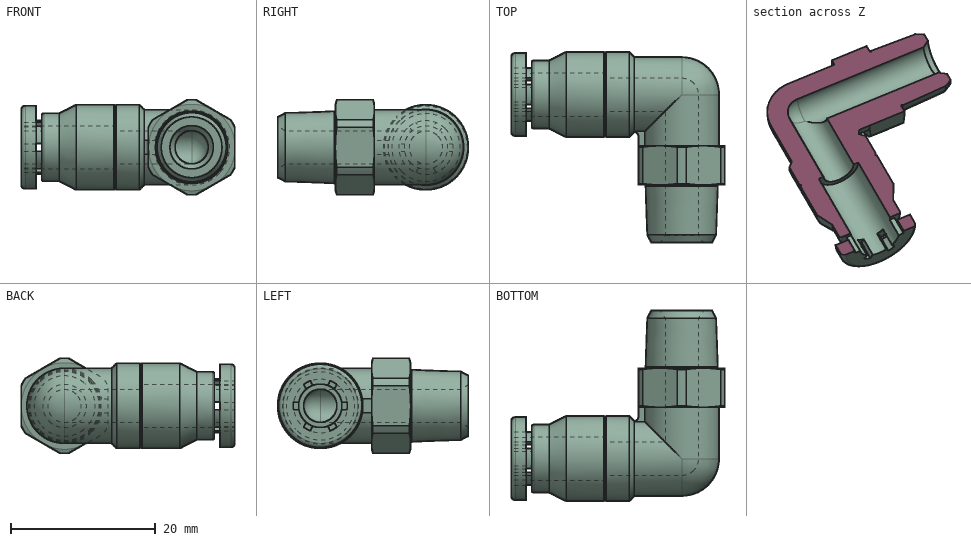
import cadquery as cq
import math


collar_end = 2.1
neck_start = 2.85
neck_end = 5.27
barrel_start = 7.6
groove_start = 12.85
groove_end = 13.2
barrel_chamfer = 0.65
barrel_end = 17.02

collar_diameter = 11.5
collar_round = 0.6
neck_diameter = 9.45
neck_round = 0.33
barrel_diameter = 11.8
groove_depth = 0.18

sleeve_diameter = 7.45
socket_diameter = 6.0
socket_depth = groove_start
slot_count = 6
slot_width = 1.05
slot_depth = neck_start

across_flats = 12.0
across_corners = 13.2
hex_sides = 6
hex_turn = 180 / hex_sides
hex_chamfer = 0.18
hex_top = -7.1
hex_bottom = -12.5

overall_length = 29.6
elbow_x = overall_length - across_flats / 2
elbow_diameter = 10.4
bore_diameter = 4.6

overall_width = 26.4
stud_end = barrel_diameter / 2 - overall_width
relief_length = 0.18
relief_diameter = 9.83
stud_large_diameter = 10.03
stud_small_diameter = 9.55
tip_chamfer_length = 1.1
tip_diameter = 8.4
mouth_diameter = 6.0
mouth_depth = 1.05

rib_width = 1.95
rib_x = elbow_x - across_flats / 2
rib_round = rib_x - barrel_end


def x_cylinder(diameter, start, end):
    """Cylinder on the tube axis between two X stations."""
    return cq.Workplane("YZ", origin=(start, 0, 0)).circle(diameter / 2).extrude(end - start)


def y_revolve(points):
    """Revolve (radius, y) points about the stud axis."""
    profile = cq.Workplane("XY", origin=(elbow_x, 0, 0)).polyline(points).close()
    return profile.revolve(360, (0, 0), (0, 1))


def round_elbow(diameter, x_start, y_end):
    """Two round legs joined by a quarter ball on the outside of the bend."""
    radius = diameter / 2
    x_leg = x_cylinder(diameter, x_start, elbow_x)
    y_leg = cq.Workplane("XZ", origin=(elbow_x, 0, 0)).circle(radius).extrude(-y_end)
    quarter_ball = (
        cq.Workplane("XZ", origin=(elbow_x, 0, 0))
        .moveTo(0, -radius)
        .threePointArc((radius, 0), (0, radius))
        .close()
        .revolve(90, (0, 0), (0, 1))
    )
    return x_leg.union(y_leg).union(quarter_ball)


def make_barrel():
    radius = barrel_diameter / 2
    groove_radius = radius - groove_depth
    return (
        cq.Workplane("XY")
        .moveTo(neck_start, 0)
        .lineTo(neck_start, neck_diameter / 2 - neck_round)
        .radiusArc((neck_start + neck_round, neck_diameter / 2), neck_round)
        .lineTo(neck_end, neck_diameter / 2)
        .lineTo(barrel_start, radius)
        .lineTo(groove_start, radius)
        .lineTo((groove_start + groove_end) / 2, groove_radius)
        .lineTo(groove_end, radius)
        .lineTo(barrel_end - barrel_chamfer, radius)
        .lineTo(barrel_end, radius - barrel_chamfer)
        .lineTo(barrel_end, 0)
        .close()
        .revolve(360, (0, 0), (1, 0))
    )


def make_collar():
    collar = x_cylinder(collar_diameter, 0, collar_end).faces("<X").edges().fillet(collar_round)
    return collar.union(x_cylinder(sleeve_diameter, 0, neck_start))


def make_hex():
    height = hex_top - hex_bottom
    prism = (
        cq.Workplane("XZ", origin=(elbow_x, hex_top, 0))
        .transformed(rotate=(0, 0, hex_turn))
        .polygon(hex_sides, across_flats / math.cos(math.pi / hex_sides))
        .extrude(height)
    )
    corner_radius = across_corners / 2
    face_radius = across_flats / 2
    turned_blank = y_revolve([
        (0, hex_top),
        (face_radius, hex_top),
        (corner_radius, hex_top - hex_chamfer),
        (corner_radius, hex_bottom + hex_chamfer),
        (face_radius, hex_bottom),
        (0, hex_bottom),
    ])
    return prism.intersect(turned_blank)


def make_stud():
    taper_start = hex_bottom - relief_length
    return y_revolve([
        (0, hex_bottom),
        (relief_diameter / 2, hex_bottom),
        (relief_diameter / 2, taper_start),
        (stud_large_diameter / 2, taper_start),
        (stud_small_diameter / 2, stud_end + tip_chamfer_length),
        (tip_diameter / 2, stud_end),
        (0, stud_end),
    ])


def make_rib():
    rib_top = -elbow_diameter / 2
    return (
        cq.Workplane("XY")
        .moveTo(barrel_end, 0)
        .lineTo(barrel_end, rib_top)
        .radiusArc((rib_x, rib_top - rib_round), rib_round)
        .lineTo(rib_x, hex_top)
        .lineTo(elbow_x, hex_top)
        .lineTo(elbow_x, 0)
        .close()
        .extrude(rib_width / 2, both=True)
    )


def make_slots():
    """Radial slots that reach the outer surface of the sleeve."""
    reach = x_cylinder(sleeve_diameter, 0, slot_depth)
    bars = cq.Workplane("XY")
    for index in range(slot_count // 2):
        bar = cq.Workplane("XY").box(slot_depth, sleeve_diameter, slot_width)
        bar = bar.translate((slot_depth / 2, 0, 0))
        angle = index * 360 / slot_count
        bars = bars.union(bar.rotate((0, 0, 0), (1, 0, 0), angle))
    return bars.intersect(reach)


def make_mouth():
    """Conical lead-in at the open end of the stud."""
    return y_revolve([
        (0, stud_end),
        (mouth_diameter / 2, stud_end),
        (bore_diameter / 2, stud_end + mouth_depth),
        (0, stud_end + mouth_depth),
    ])


outside = round_elbow(elbow_diameter, barrel_end, hex_top)
for piece in (make_barrel(), make_collar(), make_rib(), make_hex(), make_stud()):
    outside = outside.union(piece)

socket = x_cylinder(socket_diameter, 0, socket_depth)
bore = round_elbow(bore_diameter, 0, stud_end)
result = outside.cut(bore).cut(socket).cut(make_slots()).cut(make_mouth())